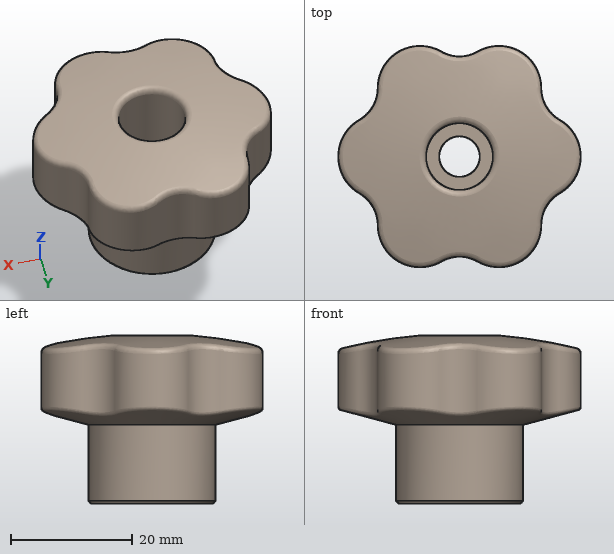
import cadquery as cq
import math

lobe_count = 6
grip_radius = 20.0
lobe_radius = 7.0
valley_radius = 6.0
lobe_center = grip_radius - lobe_radius
half_pitch = math.pi / lobe_count
valley_center = lobe_center * math.cos(half_pitch) + math.sqrt(
    (lobe_radius + valley_radius) ** 2 - (lobe_center * math.sin(half_pitch)) ** 2
)
valley_bottom = valley_center - valley_radius

total_height = 27.75
hub_height = 13.0
hub_diameter = 21.0
hub_chamfer = 0.48
underside_angle = 15.0
dome_radius = 79.98
clearance = 0.4
blank_radius = grip_radius + clearance

bore_diameter = 6.65
recess_diameter = 11.0
recess_floor = hub_height
recess_fillet = 1.0

top_edge_fillet = 1.0
bottom_edge_fillet = 0.6

rim_radius = recess_diameter / 2 + recess_fillet
dome_center_height = total_height - math.sqrt(dome_radius**2 - rim_radius**2)


def polar(radius, angle):
    return (radius * math.cos(angle), radius * math.sin(angle))


def dome_height(radius):
    return dome_center_height + math.sqrt(dome_radius**2 - radius**2)


def tangent_point(angle, side):
    """Point where a lobe meets the valley on the given side of it."""
    lobe = polar(lobe_center, angle)
    valley = polar(valley_center, angle + side * half_pitch)
    share = lobe_radius / (lobe_radius + valley_radius)
    return tuple(a + share * (b - a) for a, b in zip(lobe, valley))


def lobed_prism():
    """Prism tall enough to trim the whole domed blank."""
    outline = cq.Workplane("XY").moveTo(*tangent_point(0, -1))
    for i in range(lobe_count):
        angle = 2 * half_pitch * i
        next_angle = angle + 2 * half_pitch
        outline = outline.threePointArc(polar(grip_radius, angle), tangent_point(angle, 1))
        outline = outline.threePointArc(
            polar(valley_bottom, angle + half_pitch), tangent_point(next_angle, -1)
        )
    return outline.close().extrude(dome_height(0) + clearance)


def grip_blank():
    """Turned disc with a conical underside and a domed top."""
    hub_radius = hub_diameter / 2
    edge_height = hub_height + (blank_radius - hub_radius) * math.tan(math.radians(underside_angle))
    return (
        cq.Workplane("XZ")
        .moveTo(0, hub_height)
        .lineTo(hub_radius, hub_height)
        .lineTo(blank_radius, edge_height)
        .lineTo(blank_radius, dome_height(blank_radius))
        .threePointArc((blank_radius / 2, dome_height(blank_radius / 2)), (0, dome_height(0)))
        .close()
        .revolve(360, (0, 0), (0, 1))
    )


def rounded_grip():
    grip = grip_blank().intersect(lobed_prism())
    grip = grip.faces(">Z").edges().fillet(top_edge_fillet)
    underside = cq.selectors.BoxSelector(
        (-blank_radius, -blank_radius, hub_height + clearance),
        (blank_radius, blank_radius, (hub_height + total_height) / 2),
    )
    return grip.edges(underside).fillet(bottom_edge_fillet)


def hub():
    return (
        cq.Workplane("XY").circle(hub_diameter / 2).extrude(hub_height)
        .faces("<Z").chamfer(hub_chamfer)
    )


def drill(body):
    bore = cq.Workplane("XY").circle(bore_diameter / 2).extrude(total_height)
    recess = (
        cq.Workplane("XY")
        .workplane(offset=recess_floor)
        .circle(recess_diameter / 2)
        .extrude(total_height)
    )
    return body.cut(bore).cut(recess)


def round_recess_rim(body):
    """Round the edge where the recess breaks through the dome."""
    half_box = recess_diameter / 2 + clearance
    rim = cq.selectors.BoxSelector(
        (-half_box, -half_box, total_height - clearance),
        (half_box, half_box, dome_height(0) + clearance),
    )
    return body.edges(rim).fillet(recess_fillet)


result = round_recess_rim(drill(rounded_grip().union(hub())))